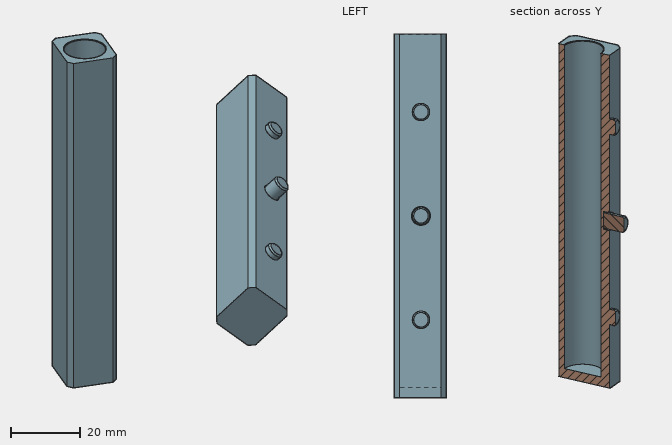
import cadquery as cq

rail_length = 105.0
rail_width = 17.0
rail_depth = 15.0
rail_edge_chamfer = 1.6

bore_diameter = 12.0
bore_offset_x = 0.5
bore_floor = 3.0
bore_rim_chamfer = 0.2

stud_diameter = 5.0
stud_projection = 2.0
stud_spacing = 60.0

pin_diameter = 5.0
pin_projection = 4.7
pin_seat_diameter = 5.5
pin_seat_depth = 2.1

peg_offset_y = -0.2

tip_chamfer_length = 0.5
tip_chamfer_inset = 0.4

rail_face_x = -rail_width / 2


def cylinder_along_x(diameter, start_x, length, z):
    """Cylinder that runs toward -X from start_x."""
    return (
        cq.Workplane("YZ", origin=(start_x, peg_offset_y, z))
        .circle(diameter / 2)
        .extrude(-length)
    )


def chamfered_peg(diameter, start_x, length, z):
    """Solid of revolution that runs toward -X and has a chamfered tip."""
    radius = diameter / 2
    return (
        cq.Workplane("XY", origin=(start_x, peg_offset_y, z))
        .moveTo(0, 0)
        .lineTo(0, radius)
        .lineTo(-length + tip_chamfer_length, radius)
        .lineTo(-length, radius - tip_chamfer_inset)
        .lineTo(-length, 0)
        .close()
        .revolve(360, (0, 0), (1, 0))
    )


def make_rail():
    rail = (
        cq.Workplane("XY")
        .box(rail_width, rail_depth, rail_length)
        .edges("|Z")
        .chamfer(rail_edge_chamfer)
    )

    bore = (
        cq.Workplane("XY", origin=(bore_offset_x, 0, rail_length / 2))
        .circle(bore_diameter / 2)
        .extrude(-(rail_length - bore_floor))
    )
    rail = rail.cut(bore)
    rail = rail.faces(">Z").edges("%CIRCLE").chamfer(bore_rim_chamfer)

    seat_bottom_x = rail_face_x + pin_seat_depth
    rail = rail.cut(cylinder_along_x(pin_seat_diameter, seat_bottom_x, pin_seat_depth, 0))

    for stud_z in (-stud_spacing / 2, stud_spacing / 2):
        stud = chamfered_peg(stud_diameter, rail_face_x, stud_projection, stud_z)
        rail = rail.union(stud)
    return rail


def make_pin():
    pin_length = pin_seat_depth + pin_projection
    return chamfered_peg(pin_diameter, rail_face_x + pin_seat_depth, pin_length, 0)


rail = make_rail()
pin = make_pin()
result = cq.Compound.makeCompound([rail.val(), pin.val()])